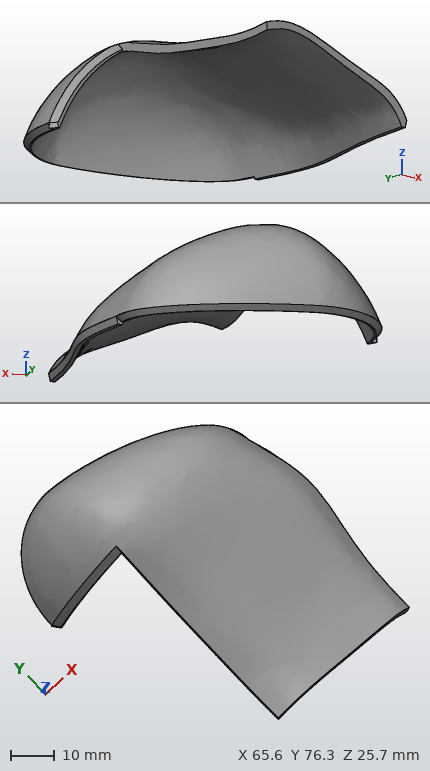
import cadquery as cq
import math

length = 76.3
wall = 1.8
side_wall = 1.5
rim_z = 1.8
dome_bottom_z = 0.5
bevel = 1.3
side_bevel = 0.45

dome_y = 53.4
dome_depth = length - dome_y
dome_tip_x = 20.15
dome_right = 62.3
dome_crest = 25.7
right_taper_power = 1.35
crest_taper_power = 1.12
dome_angles = (15, 30, 43, 55, 65, 74, 81, 87)

front_stations = (
    (-11.45, 61.7, 19.45),
    (0.0, 61.75, 18.55),
    (11.8, 62.1, 18.1),
    (24.4, 63.95, 19.85),
    (34.35, 65.5, 21.5),
    (43.5, 64.8, 23.8),
    (dome_y, dome_right, dome_crest),
)

profile = (
    (0.0, 0.0, 0.0),
    (0.092, 0.42, 0.42),
    (0.244, 0.81, 0.816),
    (0.33, 0.936, 0.95),
    (0.42, 1.0, 1.0),
    (0.51, 0.96, 0.98),
    (0.695, 0.70, 0.816),
    (0.83, 0.51, 0.61),
    (0.92, 0.35, 0.39),
    (0.97, 0.18, 0.19),
    (1.0, 0.0, 0.0),
)

cut_x = 20.4
cut_lip = 1.75
lip_land = 0.2
margin = 0.8
reach = 2 * length


def dome_station(angle, inset=0.0, drop=0.0):
    """Y, left X, right X and crest Z of a dome section, with its sides inset and its crest dropped."""
    sine = math.sin(math.radians(angle))
    cosine = math.cos(math.radians(angle))
    y = dome_y + (dome_depth - inset) * sine
    left = dome_tip_x - (dome_tip_x - inset) * cosine
    right = dome_tip_x + (dome_right - inset - dome_tip_x) * cosine**right_taper_power
    crest = rim_z + (dome_crest - drop - rim_z) * cosine**crest_taper_power
    return y, left, right, crest


def stations(inset=0.0, drop=0.0):
    """All sections from front to rear; the last one lies at the very back."""
    front = [(y, inset, right - inset, crest - drop) for y, right, crest in front_stations]
    rear = [dome_station(angle, inset, drop) for angle in dome_angles]
    rear[-1] = (length - inset,) + rear[-1][1:]
    return front + rear


def arch_parameters():
    """Spline parameters shared by every section, so that lofted skins do not twist."""
    height_to_width = (dome_crest - rim_z) / dome_right
    parameters = [0.0]
    for (x0, _, z0), (x1, _, z1) in zip(profile, profile[1:]):
        parameters.append(parameters[-1] + math.hypot(x1 - x0, (z1 - z0) * height_to_width))
    return parameters


def section(station, base_z, floor_z):
    """Closed cross-section: an arch springing from base_z, on straight sides down to floor_z."""
    y, left, right, crest = station
    dome_share = min(max(y / dome_y, 0.0), 1.0)
    arch = []
    for across, front_height, dome_height in profile:
        height = front_height + (dome_height - front_height) * dome_share
        x = left + across * (right - left)
        arch.append(cq.Vector(x, y, base_z + height * (crest - base_z)))
    corners = [arch[-1]]
    if floor_z < base_z:
        corners += [cq.Vector(right, y, floor_z), cq.Vector(left, y, floor_z)]
    corners.append(arch[0])
    edges = [cq.Edge.makeSpline(arch, parameters=arch_parameters())]
    edges += [cq.Edge.makeLine(a, b) for a, b in zip(corners, corners[1:])]
    return cq.Wire.assembleEdges(edges)


def loft(wires, ruled=False):
    return cq.Workplane(obj=cq.Solid.makeLoft(wires, ruled))


def block(x0, x1, y0, y1, z0, z1):
    return cq.Workplane().box(x1 - x0, y1 - y0, z1 - z0, centered=False).translate((x0, y0, z0))


def dome_footprint(inset, z):
    """Base outline of the dome, closed by a straight front edge."""
    rows = [dome_station(angle, inset) for angle in (0,) + dome_angles[:-1]]
    left_side = [cq.Vector(left, y, z) for y, left, _, _ in rows]
    right_side = [cq.Vector(right, y, z) for y, _, right, _ in rows]
    tip = cq.Vector(dome_tip_x, length - inset, z)
    outline = left_side + [tip] + right_side[::-1]
    edges = [cq.Edge.makeSpline(outline), cq.Edge.makeLine(outline[-1], outline[0])]
    return cq.Wire.assembleEdges(edges)


def side_footprint(inset, z):
    """Base outline ahead of the dome, following the right wall."""
    right_side = [cq.Vector(right - inset, y, z) for y, right, _ in front_stations]
    corners = [right_side[-1], cq.Vector(0, dome_y, z), cq.Vector(0, front_stations[0][0], z), right_side[0]]
    edges = [cq.Edge.makeSpline(right_side)]
    edges += [cq.Edge.makeLine(a, b) for a, b in zip(corners, corners[1:])]
    return cq.Wire.assembleEdges(edges)


outer_stations = stations()
outer = loft([section(station, rim_z, rim_z) for station in outer_stations])
dome_rim = loft([dome_footprint(0, rim_z), dome_footprint(bevel, dome_bottom_z)], ruled=True)
side_rim = loft([side_footprint(0, rim_z), side_footprint(side_bevel, 0)], ruled=True)

cavity = loft([section(station, 0, -margin) for station in stations(side_wall, wall)])

dome_edge = outer_stations[len(front_stations) - 1]
_, edge_left, edge_right, edge_crest = dome_edge
lip_inset = side_wall - lip_land
lip_drop = wall - lip_land
lip_end = (dome_y - cut_lip, edge_left + lip_inset, edge_right - lip_inset, edge_crest - lip_drop)
lip = loft([section(dome_edge, rim_z, dome_bottom_z), section(lip_end, rim_z, dome_bottom_z)], ruled=True)
lip = lip.intersect(block(-margin, cut_x + margin, 0, length, 0, reach))

window = block(-reach, cut_x, -reach, dome_y, -reach, reach)
front = block(-reach, reach, -reach, 0, -reach, reach)
body = outer.union(dome_rim).union(side_rim).cut(window).cut(front).union(lip)
result = body.cut(cavity)